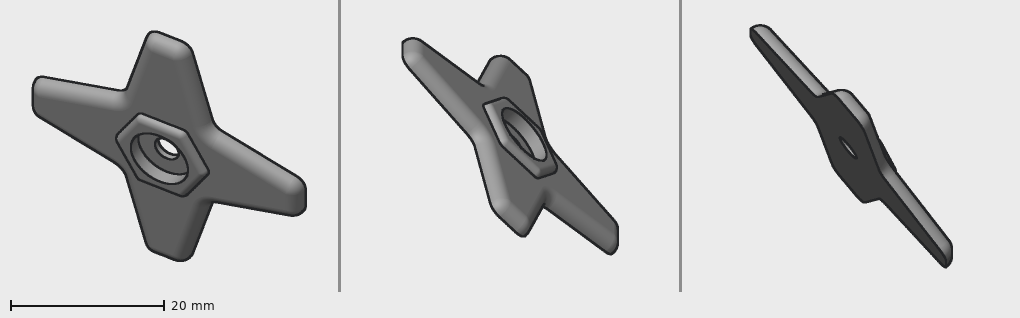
import cadquery as cq
import math

span = 40.3
plate_thickness = 2.0
tip_half_width = 3.0
arm_taper = 15.0
edge_radius = 1.9
root_radius = 2.0

boss_height = 0.95
boss_across_flats = 12.1
boss_radius = boss_height
bore_diameter = 3.5
counterbore_diameter = 8.5
counterbore_depth = 2.0

arm_length = span / 2
front_y = -(plate_thickness + boss_height)


def star_outline():
    """Corners of the sharp star, two at the tip and one at the root per arm."""
    slope = math.tan(math.radians(arm_taper))
    root = (tip_half_width + arm_length * slope) / (1 + slope)
    arm = [(arm_length, -tip_half_width), (arm_length, tip_half_width), (root, root)]
    points = []
    for quarter in range(4):
        c = round(math.cos(quarter * math.pi / 2))
        s = round(math.sin(quarter * math.pi / 2))
        points += [(x * c - z * s, x * s + z * c) for x, z in arm]
    return points


def make_plate():
    """Star plate with rounded root corners, tip corners and front edges."""
    points = star_outline()
    plate = cq.Workplane("XZ").polyline(points).close().extrude(plate_thickness)
    reach = arm_length / 2
    root_box = cq.selectors.BoxSelector(
        (-reach, -plate_thickness, -reach), (reach, 0, reach)
    )
    plate = plate.edges("|Y").edges(root_box).fillet(root_radius)
    outside_root = cq.selectors.SubtractSelector(cq.selectors.Selector(), root_box)
    tip_corners = plate.edges("|Y").edges(outside_root)
    return tip_corners.add(plate.faces("<Y").edges()).fillet(edge_radius)


def make_boss():
    """Hexagon sunk into the plate, so that its full-height rounding ends at the plate's front face."""
    across_corners = boss_across_flats / math.cos(math.pi / 6)
    boss = (
        cq.Workplane("XZ", origin=(0, -plate_thickness / 2, 0))
        .polygon(6, across_corners)
        .extrude(boss_height + plate_thickness / 2)
    )
    return boss.edges("|Y or <Y").fillet(boss_radius)


def counterbored_hole():
    """Through bore with a wider counterbore from the boss face."""
    bore = cq.Workplane("XZ").circle(bore_diameter / 2).extrude(-front_y)
    counterbore = (
        cq.Workplane("XZ", origin=(0, front_y, 0))
        .circle(counterbore_diameter / 2)
        .extrude(-counterbore_depth)
    )
    return bore.union(counterbore)


result = make_plate().union(make_boss()).cut(counterbored_hole())